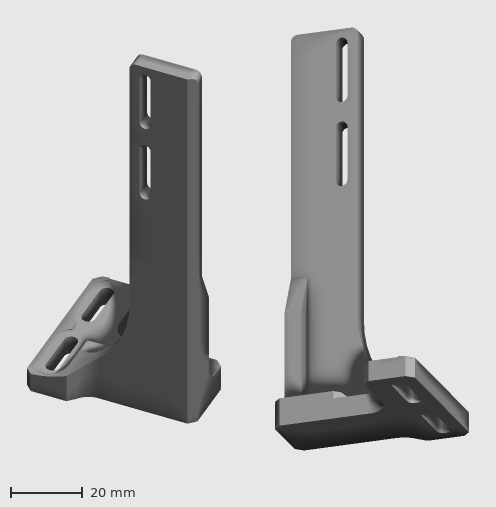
import cadquery as cq
import math

LENGTH = 50.0
WIDTH = 48.0
HEIGHT = 123.0
CHAMFER = 2.1

FLOOR = 6.0
BAR_WIDTH = 15.1
ARM_FRONT = 4.9
ARM_BACK = 24.8
BACK_FILLET = 6.0
FRONT_BLEND_END = 20.7

PLATE_BACK = 10.0
PLATE_LEFT = 30.1
TOP_CORNER = 2.0

TROUGH_RADIUS = 5.0
TROUGH_RIDGE_Y = 17.5
SLOPE_END = 20.0
PAD_TOP = 8.2
PAD_FRONT = SLOPE_END - (PAD_TOP - FLOOR)

PAD_LEFT = 30.3
RAMP_LEFT = 27.2

RIB_LEFT = 45.0
RIB_BACK = 14.9
RIB_SHOULDER = 38.4
RIB_TOP = 49.8

FOOT_SLOT_X = 6.2
FOOT_SLOT_WIDTH = 4.0
FOOT_SLOT_LENGTH = 16.2
FOOT_SLOT_PITCH = 24.0
RECESS_RADIUS = 5.0
RECESS_STRIP_LEFT = 4.3

PLATE_SLOT_X = 34.9
PLATE_SLOT_WIDTH = 3.3
PLATE_SLOT_LENGTH = 19.3
PLATE_SLOT_CENTERS_Z = (85.5, 110.7)


def foot_plan():
    """L-shaped plan with chamfered corners, extruded to the full height."""
    return (
        cq.Workplane("XY")
        .moveTo(CHAMFER, 0)
        .lineTo(0, CHAMFER)
        .lineTo(0, WIDTH - CHAMFER)
        .lineTo(CHAMFER, WIDTH)
        .lineTo(BAR_WIDTH - CHAMFER, WIDTH)
        .lineTo(BAR_WIDTH, WIDTH - CHAMFER)
        .lineTo(BAR_WIDTH, ARM_BACK + BACK_FILLET)
        .radiusArc((BAR_WIDTH + BACK_FILLET, ARM_BACK), -BACK_FILLET)
        .lineTo(LENGTH - CHAMFER, ARM_BACK)
        .lineTo(LENGTH, ARM_BACK - CHAMFER)
        .lineTo(LENGTH, ARM_FRONT + CHAMFER)
        .lineTo(LENGTH - CHAMFER, ARM_FRONT)
        .lineTo(FRONT_BLEND_END, ARM_FRONT)
        .tangentArcPoint((BAR_WIDTH, CHAMFER), relative=False)
        .lineTo(BAR_WIDTH - CHAMFER, 0)
        .close()
        .extrude(HEIGHT)
    )


def plate_outline():
    """Outline of the plate and its large arc, through the whole depth."""
    return (
        cq.Workplane("XZ")
        .lineTo(LENGTH, 0)
        .lineTo(LENGTH, HEIGHT - TOP_CORNER)
        .radiusArc((LENGTH - TOP_CORNER, HEIGHT), -TOP_CORNER)
        .lineTo(PLATE_LEFT + TOP_CORNER, HEIGHT)
        .radiusArc((PLATE_LEFT, HEIGHT - TOP_CORNER), -TOP_CORNER)
        .lineTo(PLATE_LEFT, FLOOR + PLATE_LEFT)
        .radiusArc((0, FLOOR), PLATE_LEFT)
        .close()
        .extrude(-WIDTH)
    )


def cross_section():
    """Section across the plate, trough, slope and foot, run along X."""
    trough_center_y = PLATE_BACK + TROUGH_RADIUS
    ridge_z = FLOOR + SLOPE_END - TROUGH_RIDGE_Y
    ridge_offset = TROUGH_RIDGE_Y - trough_center_y
    trough_center_z = ridge_z + math.sqrt(TROUGH_RADIUS**2 - ridge_offset**2)
    section = (
        cq.Workplane("YZ", origin=(RECESS_STRIP_LEFT, 0, 0))
        .lineTo(0, HEIGHT)
        .lineTo(PLATE_BACK, HEIGHT)
        .lineTo(PLATE_BACK, trough_center_z)
        .threePointArc((trough_center_y, trough_center_z - TROUGH_RADIUS), (TROUGH_RIDGE_Y, ridge_z))
        .lineTo(SLOPE_END, FLOOR)
        .lineTo(WIDTH, FLOOR)
        .lineTo(WIDTH, 0)
        .close()
        .extrude(LENGTH - RECESS_STRIP_LEFT)
    )
    left_strip = cq.Workplane("XY").box(RECESS_STRIP_LEFT, WIDTH, HEIGHT, centered=False)
    return section.union(left_strip)


def pad():
    """Raised pad behind the trough, ramped on the left and cut diagonally."""
    profile = (
        cq.Workplane("XZ", origin=(0, PAD_FRONT, 0))
        .moveTo(RAMP_LEFT, 0)
        .lineTo(RAMP_LEFT, FLOOR)
        .lineTo(PAD_LEFT, PAD_TOP)
        .lineTo(LENGTH, PAD_TOP)
        .lineTo(LENGTH, 0)
        .close()
        .extrude(PAD_FRONT - ARM_BACK)
    )
    diagonal_run = ARM_BACK - SLOPE_END
    diagonal_plan = (
        cq.Workplane("XY")
        .moveTo(RAMP_LEFT, PAD_FRONT)
        .lineTo(RAMP_LEFT, SLOPE_END)
        .lineTo(RAMP_LEFT + diagonal_run, ARM_BACK)
        .lineTo(LENGTH, ARM_BACK)
        .lineTo(LENGTH, PAD_FRONT)
        .close()
        .extrude(PAD_TOP)
    )
    return profile.intersect(diagonal_plan)


def rib():
    """Rib behind the plate, tapered at the top and splayed at the foot."""
    splay_top = PAD_TOP + PAD_FRONT - RIB_BACK
    return (
        cq.Workplane("YZ", origin=(RIB_LEFT, 0, 0))
        .moveTo(PLATE_BACK, 0)
        .lineTo(PLATE_BACK, RIB_TOP)
        .lineTo(RIB_BACK, RIB_SHOULDER)
        .lineTo(RIB_BACK, splay_top)
        .lineTo(PAD_FRONT, PAD_TOP)
        .lineTo(PAD_FRONT, 0)
        .close()
        .extrude(LENGTH - RIB_LEFT)
    )


def foot_slots(length, width, bottom):
    """Two slots in line along the cross bar, cut upward from a given level."""
    centers = [(FOOT_SLOT_X, WIDTH / 2 + side * FOOT_SLOT_PITCH / 2) for side in (-1, 1)]
    return (
        cq.Workplane("XY", origin=(0, 0, bottom))
        .pushPoints(centers)
        .slot2D(length, width, 90)
        .extrude(HEIGHT)
    )


def front_recess_side():
    """Straight right side of the front recess, carried back to the slope."""
    slot_center_y = (WIDTH - FOOT_SLOT_PITCH) / 2
    return cq.Workplane("XY", origin=(FOOT_SLOT_X, slot_center_y, FLOOR)).box(
        RECESS_RADIUS, SLOPE_END - slot_center_y, HEIGHT, centered=False
    )


def plate_slots():
    """Two upright slots through the plate."""
    return (
        cq.Workplane("XZ")
        .pushPoints([(PLATE_SLOT_X, z) for z in PLATE_SLOT_CENTERS_Z])
        .slot2D(PLATE_SLOT_LENGTH, PLATE_SLOT_WIDTH, 90)
        .extrude(-WIDTH)
    )


plan = foot_plan()
recess_length = FOOT_SLOT_LENGTH - FOOT_SLOT_WIDTH + 2 * RECESS_RADIUS

result = plan.intersect(plate_outline()).intersect(cross_section())
result = result.union(pad().union(rib()).intersect(plan))
result = result.cut(foot_slots(recess_length, 2 * RECESS_RADIUS, FLOOR))
result = result.cut(front_recess_side())
result = result.cut(foot_slots(FOOT_SLOT_LENGTH, FOOT_SLOT_WIDTH, 0))
result = result.cut(plate_slots())